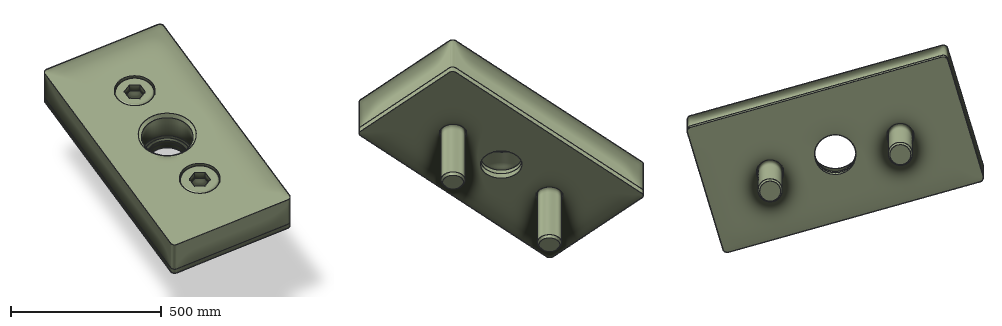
import cadquery as cq
import math

LENGTH = 900.0
WIDTH = 450.0
CORNER_RADIUS = 15.0
BLOCK_HEIGHT = 120.0
PAD_THICKNESS = 20.0

BORE_DIAMETER = 171.0
BORE_CHAMFER = 11.0
BORE_DEPTH = 104.0
BORE_FLOOR_DIAMETER = 160.0
THROUGH_DIAMETER = 137.0

SCREW_SPACING = 450.0
SHANK_DIAMETER = 80.0
SHANK_LENGTH = 270.0
SHANK_CHAMFER_WIDTH = 5.0
SHANK_CHAMFER_HEIGHT = 10.0
HEAD_DIAMETER = 130.0
HEAD_HEIGHT = SHANK_DIAMETER
HEAD_FILLET = 7.0
HEX_ACROSS_FLATS = 60.0
HEX_DEPTH = 30.0

HEAD_RECESS = 4.5
COUNTERBORE_DIAMETER = 135.0
COUNTERBORE_DEPTH = HEAD_HEIGHT + HEAD_RECESS
CLEARANCE_DIAMETER = 90.0

BLOCK_TOP = PAD_THICKNESS + BLOCK_HEIGHT
SCREW_SEAT = BLOCK_TOP - COUNTERBORE_DEPTH
SCREW_POSITIONS = [(-SCREW_SPACING / 2, 0), (SCREW_SPACING / 2, 0)]


def rounded_plate(bottom, thickness):
    """Rectangular plate with rounded vertical corners."""
    plate = cq.Workplane("XY").workplane(offset=bottom).rect(LENGTH, WIDTH).extrude(thickness)
    return plate.edges("|Z").fillet(CORNER_RADIUS)


def make_bore_tool():
    """Solid of revolution filling the bore, with a flared mouth and a chamfered floor edge."""
    bore_radius = BORE_DIAMETER / 2
    floor_radius = BORE_FLOOR_DIAMETER / 2
    floor = BLOCK_TOP - BORE_DEPTH
    floor_chamfer = bore_radius - floor_radius
    profile = [
        (0, floor),
        (floor_radius, floor),
        (bore_radius, floor + floor_chamfer),
        (bore_radius, BLOCK_TOP - BORE_CHAMFER),
        (bore_radius + BORE_CHAMFER, BLOCK_TOP),
        (0, BLOCK_TOP),
    ]
    return cq.Workplane("XZ").polyline(profile).close().revolve(360, (0, 0, 0), (0, 1, 0))


def make_block():
    """Thick block with a chamfered, stepped bore and two counterbored screw holes."""
    block = rounded_plate(PAD_THICKNESS, BLOCK_HEIGHT)
    block = block.faces(">Z").workplane().hole(THROUGH_DIAMETER)
    block = block.cut(make_bore_tool())
    block = block.faces(">Z").workplane(origin=(0, 0, BLOCK_TOP)).pushPoints(SCREW_POSITIONS)
    return block.cboreHole(CLEARANCE_DIAMETER, COUNTERBORE_DIAMETER, COUNTERBORE_DEPTH)


def make_pad():
    """Thin pad under the block, with the central opening and the screw holes."""
    pad = rounded_plate(0, PAD_THICKNESS)
    pad = pad.faces(">Z").workplane().hole(THROUGH_DIAMETER)
    return pad.faces(">Z").workplane().pushPoints(SCREW_POSITIONS).hole(CLEARANCE_DIAMETER)


def make_screw(position):
    """Socket-head screw pointing down, its head seated in the counterbore."""
    head = cq.Workplane("XY").circle(HEAD_DIAMETER / 2).extrude(HEAD_HEIGHT)
    head = head.faces(">Z").edges().fillet(HEAD_FILLET)
    hex_across_corners = HEX_ACROSS_FLATS / math.cos(math.pi / 6)
    head = head.faces(">Z").workplane().polygon(6, hex_across_corners).cutBlind(-HEX_DEPTH)
    shank = cq.Workplane("XY").circle(SHANK_DIAMETER / 2).extrude(-SHANK_LENGTH)
    shank = shank.faces("<Z").chamfer(SHANK_CHAMFER_HEIGHT, SHANK_CHAMFER_WIDTH)
    x, y = position
    return head.union(shank).translate((x, y, SCREW_SEAT))


block = make_block()
pad = make_pad()
screws = [make_screw(position) for position in SCREW_POSITIONS]

result = cq.Compound.makeCompound([block.val(), pad.val(), *[screw.val() for screw in screws]])